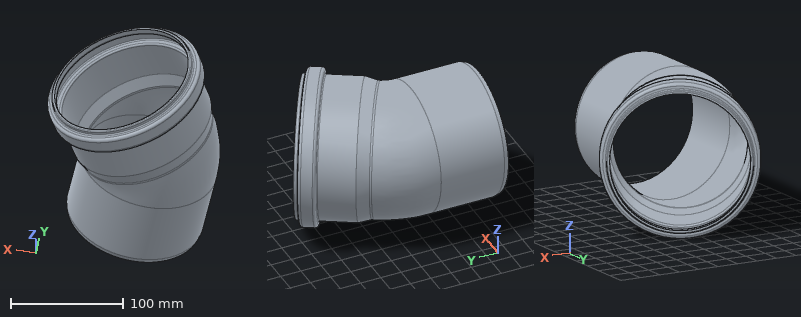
import cadquery as cq
import math

bend_angle = 30.0
bend_radius = 59.7

spigot_outer_dia = 125.2
spigot_inner_dia = 119.62
spigot_length = 67.2
spigot_taper_length = 4.7
spigot_taper_depth = 1.2

socket_outer_dia = 131.8
socket_inner_dia = 126.2
bead_outer_dia = 144.4
bead_inner_dia = 138.8
lip_outer_dia = 131.6
lip_inner_dia = 126.0

neck_length = 1.9
cone_length = 11.8
socket_barrel_length = 35.6
bead_length = 16.6
lip_length = 4.4
groove_wall = 2.2

bead_fillet = 3.0
root_fillet = 1.0
rim_fillet = 0.9
groove_edge_fillet = 1.7
groove_floor_fillet = 1.0

spigot_outer_radius = spigot_outer_dia / 2
spigot_inner_radius = spigot_inner_dia / 2

cone_start = spigot_length + neck_length
cone_end = cone_start + cone_length
bead_start = cone_end + socket_barrel_length
bead_end = bead_start + bead_length
socket_end = bead_end + lip_length


def revolve_about_pipe(profile):
    """Revolve a closed (radius, Y) profile about the spigot axis, which is Y."""
    return profile.close().revolve(360, (0, 0), (0, 1))


def spigot_body():
    tip_radius = spigot_outer_radius - spigot_taper_depth
    return revolve_about_pipe(
        cq.Workplane("XY")
        .lineTo(tip_radius, 0)
        .lineTo(spigot_outer_radius, spigot_taper_length)
        .lineTo(spigot_outer_radius, spigot_length)
        .lineTo(0, spigot_length)
    )


def spigot_bore():
    return cq.Workplane("XZ").circle(spigot_inner_radius).extrude(-spigot_length)


def bend_sector(radius):
    """Solid torus sector; any part of the section beyond the bend axis is cut off."""
    section = cq.Workplane("XZ", origin=(0, spigot_length, 0))
    if radius > bend_radius:
        half_chord = math.sqrt(radius**2 - bend_radius**2)
        section = (
            section.moveTo(bend_radius, half_chord)
            .threePointArc((-radius, 0), (bend_radius, -half_chord))
            .close()
        )
    else:
        section = section.circle(radius)
    return section.revolve(bend_angle, (bend_radius, 1), (bend_radius, 0))


def tilt_about_bend(body):
    """Swing a body built in line with the spigot round the bend axis."""
    return body.rotate(
        (bend_radius, spigot_length, 0), (bend_radius, spigot_length, 1), -bend_angle
    )


def socket_body():
    barrel_radius = socket_outer_dia / 2
    lip_radius = lip_outer_dia / 2
    bead_radius = bead_outer_dia / 2
    shoulder_radius = bead_radius - bead_fillet
    return tilt_about_bend(revolve_about_pipe(
        cq.Workplane("XY")
        .moveTo(0, spigot_length)
        .lineTo(spigot_outer_radius, spigot_length)
        .lineTo(spigot_outer_radius, cone_start)
        .lineTo(barrel_radius, cone_end)
        .lineTo(barrel_radius, bead_start - root_fillet)
        .radiusArc((barrel_radius + root_fillet, bead_start), root_fillet)
        .lineTo(shoulder_radius, bead_start)
        .radiusArc((bead_radius, bead_start + bead_fillet), -bead_fillet)
        .lineTo(bead_radius, bead_end - bead_fillet)
        .radiusArc((shoulder_radius, bead_end), -bead_fillet)
        .lineTo(lip_radius + root_fillet, bead_end)
        .radiusArc((lip_radius, bead_end + root_fillet), root_fillet)
        .lineTo(lip_radius, socket_end - rim_fillet)
        .radiusArc((lip_radius - rim_fillet, socket_end), -rim_fillet)
        .lineTo(0, socket_end)
    ))


def socket_bore():
    barrel_radius = socket_inner_dia / 2
    lip_radius = lip_inner_dia / 2
    groove_radius = bead_inner_dia / 2
    groove_start = bead_start + groove_wall
    groove_end = bead_end - groove_wall
    return tilt_about_bend(revolve_about_pipe(
        cq.Workplane("XY")
        .moveTo(0, spigot_length)
        .lineTo(spigot_inner_radius, spigot_length)
        .lineTo(spigot_inner_radius, cone_start)
        .lineTo(barrel_radius, cone_end)
        .lineTo(barrel_radius, groove_start - groove_edge_fillet)
        .radiusArc((barrel_radius + groove_edge_fillet, groove_start), groove_edge_fillet)
        .lineTo(groove_radius - groove_floor_fillet, groove_start)
        .radiusArc((groove_radius, groove_start + groove_floor_fillet), -groove_floor_fillet)
        .lineTo(groove_radius, groove_end - groove_floor_fillet)
        .radiusArc((groove_radius - groove_floor_fillet, groove_end), -groove_floor_fillet)
        .lineTo(lip_radius + groove_edge_fillet, groove_end)
        .radiusArc((lip_radius, groove_end + groove_edge_fillet), groove_edge_fillet)
        .lineTo(lip_radius, socket_end)
        .lineTo(0, socket_end)
    ))


outside = spigot_body().union(bend_sector(spigot_outer_radius)).union(socket_body())
result = (
    outside.cut(spigot_bore())
    .cut(bend_sector(spigot_inner_radius))
    .cut(socket_bore())
)